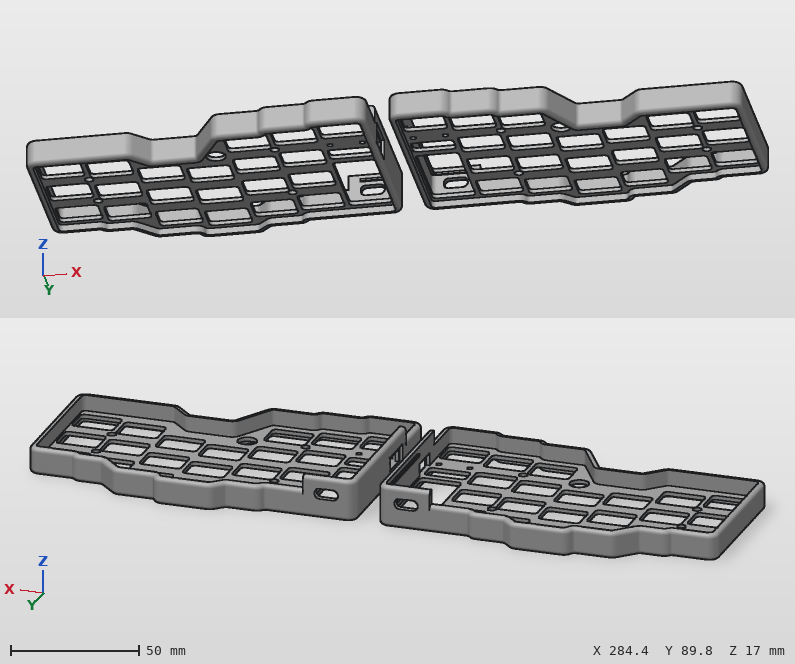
import cadquery as cq

TRAY_HEIGHT = 11.0
TOTAL_HEIGHT = 17.0
HALF_LENGTH = 142.2
HALF_GAP = 4.5
WALL = 2.5
FLOOR_TOP = 4.5
FLOOR_BOTTOM = 2.8
EDGE_RADIUS_TOP = 1.7
EDGE_RADIUS_BOTTOM = 1.7
CORNER_RADIUS = 4.3
INSIDE_CORNER_RADIUS = 1.5

SEED_INNER_X = HALF_GAP + CORNER_RADIUS
SEED_OUTER_X = HALF_LENGTH - CORNER_RADIUS
SEED_OUTLINE = [
    (SEED_INNER_X, 33.5),
    (45.8, 33.5),
    (45.8, 35.8),
    (59.0, 35.8),
    (63.7, 40.5),
    (82.5, 40.5),
    (82.5, 37.0),
    (101.2, 37.0),
    (109.5, 28.7),
    (120.0, 28.7),
    (120.0, 26.7),
    (SEED_OUTER_X, 26.7),
    (SEED_OUTER_X, -26.5),
    (102.7, -26.5),
    (95.0, -18.8),
    (73.5, -18.8),
    (63.5, -35.8),
    (44.0, -35.8),
    (44.0, -38.5),
    (25.3, -38.5),
    (25.3, -40.7),
    (SEED_INNER_X, -40.7),
]

KEY_PITCH = 18.97
KEY_WIDTH = 17.0
KEY_DEPTH = 12.5
KEY_CORNER_RADIUS = 1.7
FIRST_COLUMN_X = 16.5
KEY_COLUMNS = [
    (27.0, 4),
    (29.3, 4),
    (33.5, 3),
    (30.1, 3),
    (22.2, 3),
    (20.0, 3),
]
FIRST_COLUMN_OPENINGS = [
    (14.08, 37.5),
    (-12.0, 7.7),
    (-32.5, KEY_DEPTH),
]

SCREW_DIAMETER = 3.5
SCREW_POINTS = [(45.0, 17.3), (45.0, -20.2), (121.0, 10.5), (121.0, -8.2)]
PEG_DIAMETER = 2.2
PEG_SPACING = 12.8
PEG_Y = -20.2
ACCESS_DIAMETER = 7.7
ACCESS_POINT = (68.5, -18.8)

RAISED_END_X = 26.2
RAISED_END_Y = -23.3
RIB_PROJECTION = 0.9
RIB_BOTTOM = 14.08
RIB_HEIGHT = 0.9
RIB_END_X = 21.3
RIB_END_Y = -3.5

USB_Z = 10.2
USB_WIDTH = 9.7
USB_HEIGHT = 4.3
LINK_Y = -11.7
LINK_Z = 7.0
LINK_WIDTH = 12.0
LINK_HEIGHT = 5.0
LINK_RECESS_WIDTH = 15.0
LINK_RECESS_HEIGHT = 8.5
LINK_RECESS_DEPTH = 1.0

CLEAR = 170.5


def outline(inset):
    """Tray outline as a sketch, moved inward by `inset` from the outside face."""
    return (
        cq.Workplane("XY")
        .polyline(SEED_OUTLINE)
        .close()
        .offset2D(CORNER_RADIUS + INSIDE_CORNER_RADIUS)
        .offset2D(-INSIDE_CORNER_RADIUS - inset)
    )


def block(height):
    """Solid with the tray outline and both outside edges rounded."""
    return (
        outline(0)
        .extrude(height)
        .faces(">Z")
        .fillet(EDGE_RADIUS_TOP)
        .faces("<Z")
        .fillet(EDGE_RADIUS_BOTTOM)
    )


def corner_box(end_x, end_y, bottom, top):
    """Box from the gap side and the rear edge to the given ends."""
    return (
        cq.Workplane("XY")
        .workplane(offset=bottom)
        .moveTo(0, end_y)
        .lineTo(end_x, end_y)
        .lineTo(end_x, CLEAR)
        .lineTo(0, CLEAR)
        .close()
        .extrude(top - bottom)
    )


def shell():
    """Tray walls and floor, including the raised wall of the controller corner."""
    raised = block(TOTAL_HEIGHT).intersect(
        corner_box(RAISED_END_X, RAISED_END_Y, TRAY_HEIGHT / 2, TOTAL_HEIGHT)
    )
    cavity = outline(WALL).extrude(TOTAL_HEIGHT).translate((0, 0, FLOOR_TOP))
    recess = outline(WALL).extrude(FLOOR_BOTTOM)
    return block(TRAY_HEIGHT).union(raised).cut(cavity).cut(recess)


def rib():
    """Thin rib along the inside of the raised wall."""
    ring = outline(WALL / 2).extrude(RIB_HEIGHT)
    ring = ring.cut(outline(WALL + RIB_PROJECTION).extrude(RIB_HEIGHT))
    ring = ring.translate((0, 0, RIB_BOTTOM))
    return ring.intersect(corner_box(RIB_END_X, RIB_END_Y, RIB_BOTTOM, RIB_BOTTOM + RIB_HEIGHT))


def opening(x, y, depth):
    """Rounded rectangular opening through the floor."""
    return (
        cq.Workplane("XY")
        .center(x, y)
        .rect(KEY_WIDTH, depth)
        .extrude(FLOOR_TOP)
        .edges("|Z")
        .fillet(KEY_CORNER_RADIUS)
    )


def key_openings():
    openings = cq.Workplane("XY")
    for y, depth in FIRST_COLUMN_OPENINGS:
        openings = openings.add(opening(FIRST_COLUMN_X, y, depth))
    for column, (rear_y, count) in enumerate(KEY_COLUMNS, start=1):
        for row in range(count):
            x = FIRST_COLUMN_X + column * KEY_PITCH
            openings = openings.add(opening(x, rear_y - row * KEY_PITCH, KEY_DEPTH))
    return openings


def round_holes():
    pegs = [(FIRST_COLUMN_X + side * PEG_SPACING / 2, PEG_Y) for side in (-1, 1)]
    holes = cq.Workplane("XY").pushPoints(SCREW_POINTS).circle(SCREW_DIAMETER / 2).extrude(FLOOR_TOP)
    holes = holes.add(cq.Workplane("XY").pushPoints(pegs).circle(PEG_DIAMETER / 2).extrude(FLOOR_TOP))
    access = cq.Workplane("XY").pushPoints([ACCESS_POINT]).circle(ACCESS_DIAMETER / 2).extrude(FLOOR_TOP)
    return holes.add(access)


def usb_port():
    """Slot through the rear wall."""
    return (
        cq.Workplane("XZ")
        .center(FIRST_COLUMN_X, USB_Z)
        .slot2D(USB_WIDTH, USB_HEIGHT)
        .extrude(-CLEAR)
    )


def link_port():
    """Window through the gap-side wall, with a wider recess on the outside."""
    plane = cq.Workplane("YZ").center(LINK_Y, LINK_Z)
    window = plane.rect(LINK_WIDTH, LINK_HEIGHT).extrude(HALF_GAP + 2 * WALL)
    recess = plane.rect(LINK_RECESS_WIDTH, LINK_RECESS_HEIGHT).extrude(HALF_GAP + LINK_RECESS_DEPTH)
    return window.union(recess)


def tray():
    body = shell().union(rib())
    for cutter in key_openings().vals() + round_holes().vals():
        body = body.cut(cq.Workplane(cutter))
    return body.cut(usb_port()).cut(link_port())


right_tray = tray()
left_tray = right_tray.mirror("YZ")

result = cq.Compound.makeCompound([left_tray.val(), right_tray.val()])